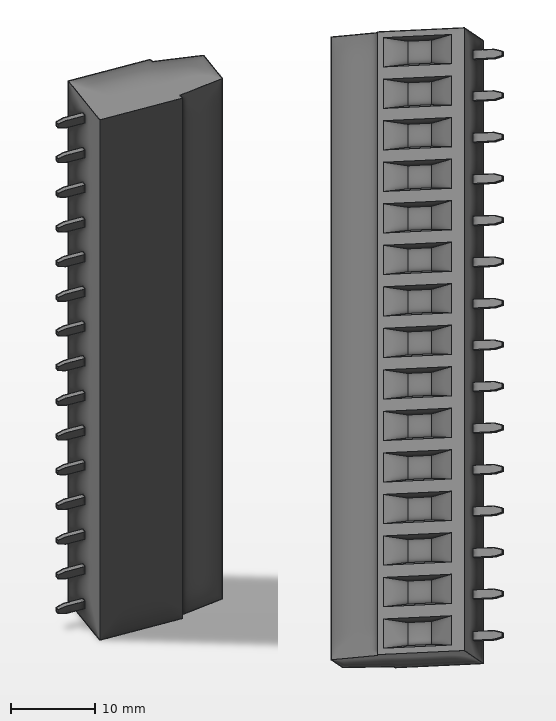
import cadquery as cq

height = 75.0
width = 8.9
total_depth = 20.3
pin_length = 3.5
body_depth = total_depth - pin_length
position_count = 15
pitch = height / position_count

rear_depth = 6.0
left_shoulder_drop = 0.15
left_step = 0.5
right_step = 0.7
left_rear_inset = 1.9
right_rear_inset = 1.7

entry_front_margin = 1.6
entry_length = 8.3
entry_height = 3.5
entry_floor_length = 2.9
entry_floor_height = 2.8
entry_depth = 1.05

pin_width = 0.7
pin_height = 1.05
tip_length = 1.0
tip_height = 0.5
tip_width = 0.5

left = -width / 2
right = width / 2
shoulder_y = body_depth - rear_depth


def make_housing():
    outline = [
        (left, 0),
        (right, 0),
        (right, shoulder_y),
        (right - right_step, shoulder_y),
        (right - right_rear_inset, body_depth),
        (left + left_rear_inset, body_depth),
        (left + left_step, shoulder_y),
        (left, shoulder_y - left_shoulder_drop),
    ]
    return cq.Workplane("XY").polyline(outline).close().extrude(height)


def make_entry(center_z):
    """Rectangular funnel that narrows from the side face to a flat floor."""
    center_y = entry_front_margin + entry_length / 2
    return (
        cq.Workplane("YZ", origin=(left, center_y, center_z))
        .rect(entry_length, entry_height)
        .workplane(offset=entry_depth)
        .rect(entry_floor_length, entry_floor_height)
        .loft(ruled=True)
    )


def make_pin(center_z):
    """Rectangular pin with a tapered tip; its root is flush with the housing front."""
    shank = (
        cq.Workplane("XZ", origin=(0, 0, center_z))
        .rect(pin_width, pin_height)
        .extrude(pin_length - tip_length)
    )
    return (
        shank.faces("<Y")
        .workplane()
        .rect(pin_width, pin_height)
        .workplane(offset=tip_length)
        .rect(tip_width, tip_height)
        .loft(ruled=True)
    )


result = make_housing()
for position in range(position_count):
    position_z = (position + 0.5) * pitch
    result = result.cut(make_entry(position_z))
    result = result.union(make_pin(position_z))